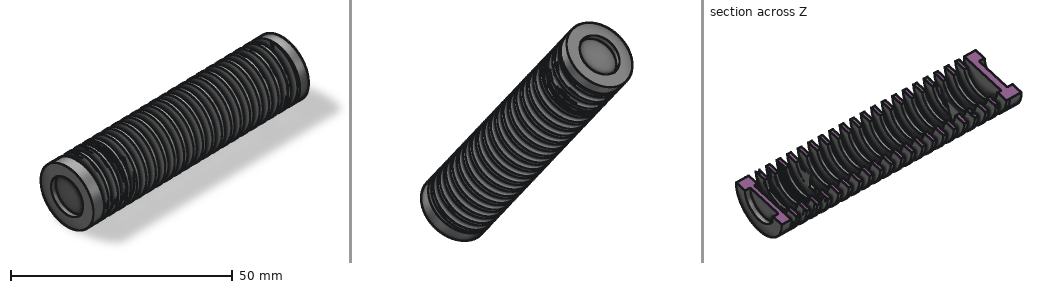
import cadquery as cq

length = 68.55
outer_radius = 8.5
bore_radius = 5.15

front_collar_thickness = 3.35
rear_collar_thickness = 2.8
recess_depth = 1.5

wire_width = 1.0
coil_inner_radius = 5.15
coil_clearance = 0.01
coil_start = 3.1
coil_end = 66.15
turns = 21

coil_outer_radius = outer_radius - coil_clearance
coil_height = coil_end - coil_start
pitch = coil_height / turns


def make_collar(thickness):
    """Collar along +Z with its recessed outer face at Z = 0."""
    collar = cq.Workplane("XY").circle(outer_radius).extrude(thickness)
    recess = cq.Workplane("XY").circle(bore_radius).extrude(recess_depth)
    return collar.cut(recess)


def make_coil():
    """Left-handed coil along +Z, starting on the +X side."""
    wire_depth = coil_outer_radius - coil_inner_radius
    middle_radius = (coil_outer_radius + coil_inner_radius) / 2
    path = cq.Wire.makeHelix(pitch, coil_height, middle_radius, lefthand=True)
    section = cq.Workplane("XZ").center(middle_radius, 0).rect(wire_depth, wire_width)
    coil = section.sweep(cq.Workplane(obj=path), isFrenet=True)
    return coil.translate((0, 0, coil_start))


front_collar = make_collar(front_collar_thickness)
rear_collar = make_collar(rear_collar_thickness).rotate((0, 0, 0), (1, 0, 0), 180)
rear_collar = rear_collar.translate((0, 0, length))
spring = make_coil().union(front_collar).union(rear_collar)

spring = spring.rotate((0, 0, 0), (1, 0, 0), -90)
result = spring.rotate((0, 0, 0), (0, 1, 0), -90)